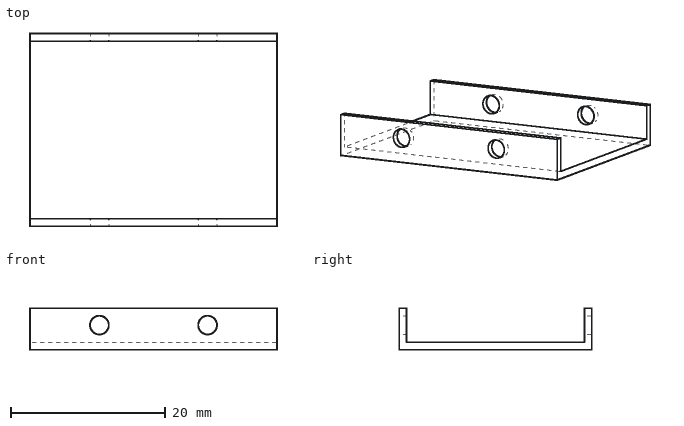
import cadquery as cq

length = 32.0
width = 25.0
height = 5.4
wall = 1.0

hole_diameter = 2.4
hole_spacing = 14.0
hole_height = 3.2


def channel():
    """Floor with two upright walls, open at the top and at both ends."""
    block = cq.Workplane("XY").box(length, width, height, centered=(True, True, False))
    cavity = (
        cq.Workplane("XY")
        .workplane(offset=wall)
        .box(length, width - 2 * wall, height - wall, centered=(True, True, False))
    )
    return block.cut(cavity)


def cross_holes():
    """Pair of cylinders along Y, long enough to pierce both walls."""
    return (
        cq.Workplane("XZ")
        .pushPoints([(side * hole_spacing / 2, hole_height) for side in (-1, 1)])
        .circle(hole_diameter / 2)
        .extrude(width / 2, both=True)
    )


result = channel().cut(cross_holes())